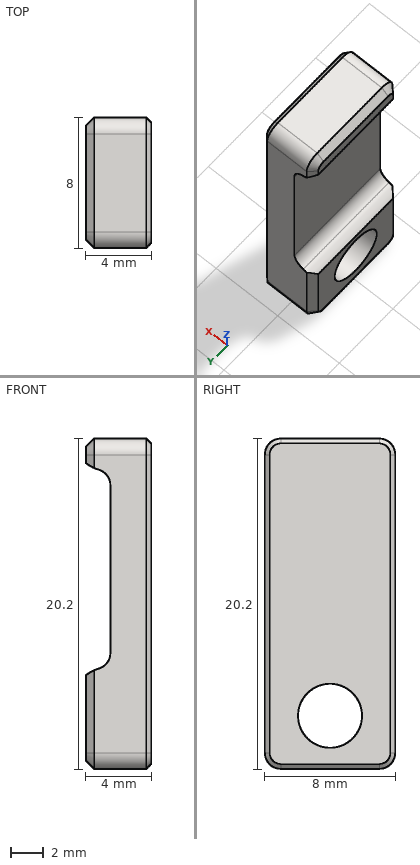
import cadquery as cq
import math

thickness = 4.0
width = 8.0
height = 20.25
corner_radius = 1.0
front_chamfer = 0.5
back_chamfer = 0.3

recess_depth = 1.5
recess_floor_bottom_z = 7.1
recess_floor_top_z = 17.37
inner_radius = 1.0
mouth_radius = 2.5
blend_angle = 17.0

hole_diameter = 3.9
hole_z = 3.25

front_x = -thickness / 2


def make_body():
    """Rounded plate with chamfered front and back rims."""
    body = cq.Workplane("XY").box(thickness, width, height, centered=(True, True, False))
    body = body.edges("|X").fillet(corner_radius)
    body = body.faces("<X").chamfer(front_chamfer)
    return body.faces(">X").chamfer(back_chamfer)


def make_recess():
    """Full-width cutter whose two mirrored flanks are tangent S-curves."""
    floor_x = front_x + recess_depth
    outside_x = front_x - recess_depth
    blend = math.radians(blend_angle)

    inner_x = floor_x - inner_radius
    mouth_x = inner_x + (inner_radius + mouth_radius) * math.sin(blend)
    mouth_centre = (inner_radius + mouth_radius) * math.cos(blend)

    def inner_point(angle):
        return inner_x + inner_radius * math.sin(angle), inner_radius * math.cos(angle)

    def mouth_point(x):
        return x, mouth_centre - math.sqrt(mouth_radius**2 - (mouth_x - x) ** 2)

    junction = inner_point(blend)
    inner_mid = inner_point((blend + math.pi / 2) / 2)
    mouth_mid = mouth_point((front_x + junction[0]) / 2)
    mouth_end = mouth_point(front_x)

    def lower(point):
        return point[0], recess_floor_bottom_z - point[1]

    def upper(point):
        return point[0], recess_floor_top_z + point[1]

    return (
        cq.Workplane("XZ", origin=(0, width / 2, 0))
        .moveTo(*lower((outside_x, mouth_end[1])))
        .lineTo(*lower(mouth_end))
        .threePointArc(lower(mouth_mid), lower(junction))
        .threePointArc(lower(inner_mid), (floor_x, recess_floor_bottom_z))
        .lineTo(floor_x, recess_floor_top_z)
        .threePointArc(upper(inner_mid), upper(junction))
        .threePointArc(upper(mouth_mid), upper(mouth_end))
        .lineTo(*upper((outside_x, mouth_end[1])))
        .close()
        .extrude(width)
    )


def make_hole():
    """Cylinder along X passing through the whole thickness."""
    return (
        cq.Workplane("YZ", origin=(front_x, 0, hole_z))
        .circle(hole_diameter / 2)
        .extrude(thickness)
    )


result = make_body().cut(make_recess()).cut(make_hole())